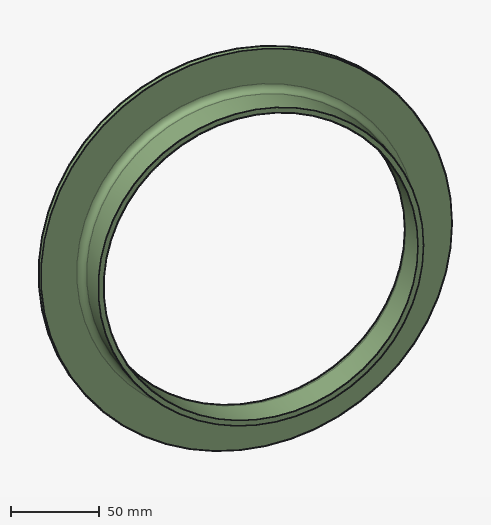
import cadquery as cq

flange_diameter = 245.0
tube_outer_diameter = 193.8
tube_inner_diameter = 187.2
total_length = 30.0
flange_thickness = 4.5

mouth_round = 7.4
root_round = 4.5

flange_radius = flange_diameter / 2
outer_radius = tube_outer_diameter / 2
inner_radius = tube_inner_diameter / 2


def wall_profile():
    """Half section of the flanged collar: X runs along the axis, Y is the radius."""
    return (
        cq.Workplane("XY")
        .moveTo(0, inner_radius + mouth_round)
        .lineTo(0, flange_radius)
        .lineTo(flange_thickness, flange_radius)
        .lineTo(flange_thickness, outer_radius + root_round)
        .tangentArcPoint((flange_thickness + root_round, outer_radius), relative=False)
        .lineTo(total_length, outer_radius)
        .lineTo(total_length, inner_radius)
        .lineTo(mouth_round, inner_radius)
        .tangentArcPoint((0, inner_radius + mouth_round), relative=False)
        .close()
    )


result = wall_profile().revolve(360, (0, 0, 0), (1, 0, 0))